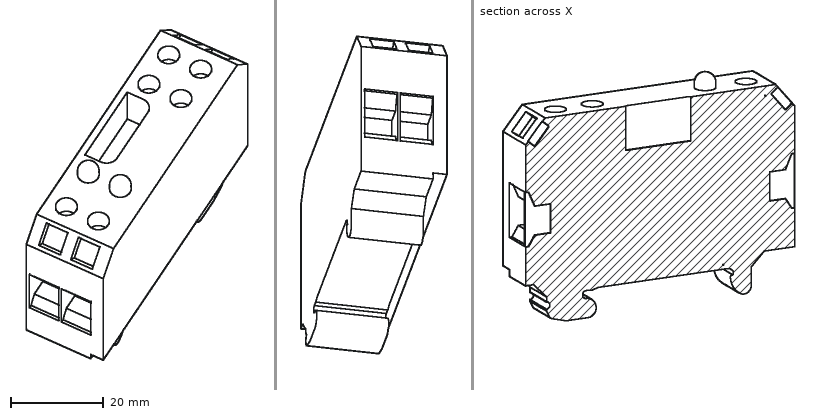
import cadquery as cq
import math

width = 19.0
length = 65.0
overall_height = 50.2
body_top = 46.7
body_bottom = 9.25
half_length = length / 2

shoulder_run = 4.65
shoulder_drop = 5.5
shoulder_z = body_top - shoulder_drop

foot_width = 15.9
step_z = 10.8

rail_z = 6.5
flank = 3.1
flank_z = body_bottom - flank

latch_face_y = 27.5
latch_notch_radius = 0.8
latch_notch_z = 4.15
heel_top_z = 2.95
heel_upper = (26.75, 1.4)
heel_middle = (26.3, 1.05)
heel_lower = (25.6, 0.8)
sole_start_y = 22.7

hook_nose_y = 15.4
hook_lower_radius = 2.0
hook_upper_radius = 2.5
gap_start_y = 18.1
gap_bottom = (18.7, 5.4)
gap_end = (18.0, 6.2)
gap_lip = (16.4, 6.1)
latch_rail_end_y = 14.95

fixed_face_y = -22.05
fixed_tip_radius = 1.8
fixed_tip_z = 2.0
fixed_rail_end_y = -16.2
groove_start = (-17.0, 6.3)
groove_middle = (-17.6, 5.6)
groove_end = (-17.5, 5.0)
catch_middle = (-17.05, 4.85)
catch_end = (-16.9, 4.4)
inner_edge_middle = (-17.5, 2.35)

column_count = 2
column_pitch = 7.9
screw_x = 4.7
hole_diameter = 4.7
hole_depth = 5.0
hole_rows_y = (-23.0, 14.1, 23.0)

lamp_y = -13.15
lamp_radius = 2.35
lamp_collar = overall_height - body_top - lamp_radius

slot_x = 1.6
slot_width = 6.5
slot_length = 19.0
slot_center_y = 0.5
slot_corner_radius = 2.6
slot_depth = 10.0

label_x = 2.75
label_width = 5.3
label_height = 5.3
label_depth = 2.1

entry_x = 0.8
entry_width = 7.25
entry_bottom = 18.1
entry_top = 30.4
bore_bottom = 20.5
bore_top = 27.0
mouth_depth = 0.7
funnel_depth = 2.2
entry_depth = 6.0


def side_profile():
    """Side outline in the YZ plane, running from the +Y shoulder down and round to the -Y shoulder."""
    profile = cq.Workplane("YZ").moveTo(half_length - shoulder_run, body_top)
    profile = (
        profile.lineTo(half_length, shoulder_z)
        .lineTo(half_length, body_bottom)
        .lineTo(latch_face_y + flank, body_bottom)
        .lineTo(latch_face_y, flank_z)
    )
    lower_inset = hook_lower_radius * (1 - math.sqrt(0.5))
    upper_inset = hook_upper_radius * (1 - math.sqrt(0.5))
    hook_top_z = hook_lower_radius + hook_upper_radius
    profile = (
        profile.lineTo(latch_face_y, latch_notch_z + latch_notch_radius)
        .threePointArc(
            (latch_face_y - latch_notch_radius, latch_notch_z),
            (latch_face_y, latch_notch_z - latch_notch_radius),
        )
        .lineTo(latch_face_y, heel_top_z)
        .lineTo(*heel_upper)
        .threePointArc(heel_middle, heel_lower)
        .lineTo(sole_start_y, 0)
        .lineTo(hook_nose_y + hook_lower_radius, 0)
        .threePointArc(
            (hook_nose_y + lower_inset, lower_inset),
            (hook_nose_y, hook_lower_radius),
        )
        .threePointArc(
            (hook_nose_y + upper_inset, hook_top_z - upper_inset),
            (hook_nose_y + hook_upper_radius, hook_top_z),
        )
        .lineTo(gap_start_y, hook_top_z)
        .threePointArc(gap_bottom, gap_end)
        .lineTo(*gap_lip)
        .lineTo(latch_rail_end_y, rail_z)
    )
    tip_y = fixed_face_y + fixed_tip_radius
    tip_slant = fixed_tip_radius * math.sqrt(0.5)
    profile = (
        profile.lineTo(fixed_rail_end_y, rail_z)
        .lineTo(*groove_start)
        .threePointArc(groove_middle, groove_end)
        .threePointArc(catch_middle, catch_end)
        .threePointArc(inner_edge_middle, (tip_y + tip_slant, fixed_tip_z - tip_slant))
        .threePointArc(
            (tip_y, fixed_tip_z - fixed_tip_radius),
            (fixed_face_y, fixed_tip_z),
        )
        .lineTo(fixed_face_y, flank_z)
        .lineTo(fixed_face_y - flank, body_bottom)
    )
    return (
        profile.lineTo(-half_length, body_bottom)
        .lineTo(-half_length, shoulder_z)
        .lineTo(-half_length + shoulder_run, body_top)
        .close()
    )


def make_housing():
    """Extruded side outline with the lower +X edge stepped back to the foot width."""
    step = cq.Workplane("XY").box(width - foot_width, length, 2 * step_z, centered=(False, True, True))
    return side_profile().extrude(width).cut(step.translate((foot_width, 0, 0)))


def make_screw_holes():
    """Blind round holes in the top face, one row per Y position."""
    centers = [(screw_x + column * column_pitch, y) for column in range(column_count) for y in hole_rows_y]
    return (
        cq.Workplane("XY", origin=(0, 0, body_top))
        .pushPoints(centers)
        .circle(hole_diameter / 2)
        .extrude(-hole_depth)
    )


def make_top_slot():
    """Top pocket with two rounded corners on its +X side."""
    slot = cq.Workplane("XY").box(slot_width, slot_length, slot_depth, centered=(False, True, False))
    slot = slot.edges("|Z and >X").fillet(slot_corner_radius)
    return slot.translate((slot_x, slot_center_y, body_top - slot_depth))


def make_lamp(column):
    """Domed indicator lamp standing on the top face."""
    half_section = (
        cq.Workplane("XZ")
        .lineTo(lamp_radius, 0)
        .lineTo(lamp_radius, lamp_collar)
        .radiusArc((0, lamp_collar + lamp_radius), -lamp_radius)
        .close()
    )
    lamp = half_section.revolve(360, (0, 0), (0, 1))
    return lamp.translate((screw_x + column * column_pitch, lamp_y, body_top))


def make_label_pocket(column):
    """Box sunk at right angles into the -Y shoulder, centred on the slope."""
    slope_angle = math.degrees(math.atan2(shoulder_drop, shoulder_run))
    pocket = cq.Workplane("XY").box(label_width, label_height, 2 * label_depth, centered=(False, True, True))
    pocket = pocket.rotate((0, 0, 0), (1, 0, 0), slope_angle)
    return pocket.translate(
        (
            label_x + column * column_pitch,
            -half_length + shoulder_run / 2,
            body_top - shoulder_drop / 2,
        )
    )


def make_wire_entry(column):
    """Funnel-shaped wire opening in the -Y end face."""
    mouth_y = -half_length + mouth_depth
    funnel_y = -half_length + funnel_depth
    back_y = -half_length + entry_depth
    outline = [
        (-half_length, entry_bottom),
        (mouth_y, entry_bottom),
        (funnel_y, bore_bottom),
        (back_y, bore_bottom),
        (back_y, bore_top),
        (funnel_y, bore_top),
        (mouth_y, entry_top),
        (-half_length, entry_top),
    ]
    entry = cq.Workplane("YZ").polyline(outline).close().extrude(entry_width)
    return entry.translate((entry_x + column * column_pitch, 0, 0))


result = make_housing().cut(make_screw_holes()).cut(make_top_slot())
for column_index in range(column_count):
    for end_cut in (make_label_pocket(column_index), make_wire_entry(column_index)):
        result = result.cut(end_cut).cut(end_cut.mirror("XZ"))
    result = result.union(make_lamp(column_index))